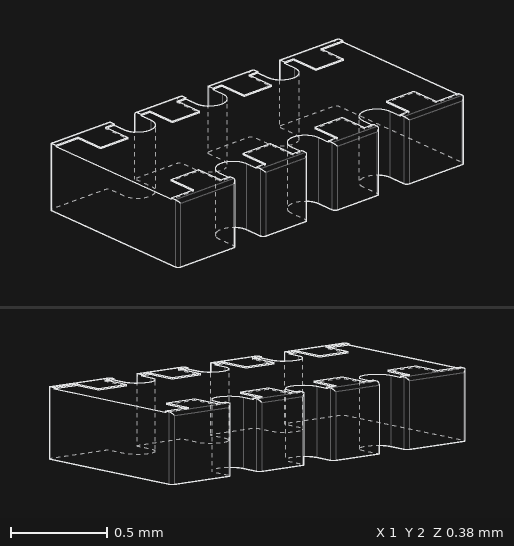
import cadquery as cq

length = 2.0
width = 1.0
height = 0.383

terminals_per_side = 4
pitch = length / terminals_per_side
edge_radius = 0.02

notch_width = 0.185
notch_depth = 0.22

metal_thickness = 0.007
rim_width = 0.05
tongue_width = 0.19
coating_width = 0.55

body_height = height - metal_thickness
tongue_length = (width - coating_width) / 2 - rim_width


def centres_along_y(count):
    """Y positions of evenly pitched features, centred on the part."""
    return [(i - (count - 1) / 2) * pitch for i in range(count)]


def points_on_both_sides(x, count):
    """Rows of pitched points at -x and +x."""
    return [(side * x, y) for side in (-1, 1) for y in centres_along_y(count)]


def make_block():
    """Full-height block with rounded upper long edges."""
    return (
        cq.Workplane("XY")
        .box(width, length, height, centered=(True, True, False))
        .edges("|Y and >Z")
        .fillet(edge_radius)
    )


def make_plan():
    """Full-height prism with notched sides and rounded terminal corners."""
    prism = cq.Workplane("XY").box(width, length, height, centered=(True, True, False))
    notches = (
        cq.Workplane("XY")
        .pushPoints(points_on_both_sides(width / 2, terminals_per_side - 1))
        .slot2D(2 * notch_depth, notch_width)
        .extrude(height)
    )
    prism = prism.cut(notches)
    first_notch_y = centres_along_y(terminals_per_side - 1)[0]
    sharp_corner = (-width / 2, first_notch_y + notch_width / 2, height / 2)
    corners = cq.selectors.StringSyntaxSelector("|Z and (>X or <X)")
    rounded_corners = corners - cq.selectors.NearestToPointSelector(sharp_corner)
    return prism.edges(rounded_corners).fillet(edge_radius)


def make_bare_top():
    """Layer removed from the top wherever there is no raised metal."""
    layer = (
        cq.Workplane("XY", origin=(0, 0, body_height))
        .box(width - 2 * rim_width, length, metal_thickness, centered=(True, True, False))
    )
    tongue_x = (coating_width + tongue_length) / 2
    tongues = (
        cq.Workplane("XY", origin=(0, 0, body_height))
        .pushPoints(points_on_both_sides(tongue_x, terminals_per_side))
        .rect(tongue_length, tongue_width)
        .extrude(metal_thickness)
    )
    return layer.cut(tongues)


result = make_block().intersect(make_plan()).cut(make_bare_top())